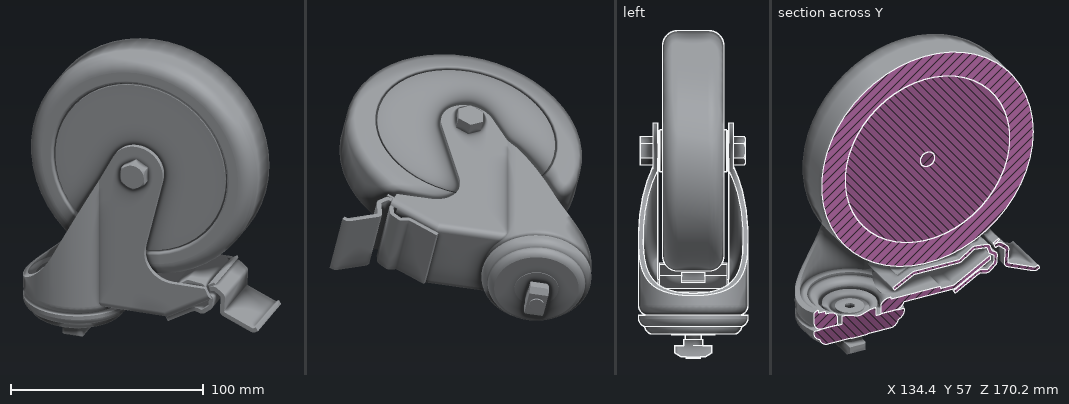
import cadquery as cq
import math


TOTAL_HEIGHT = 170.2
WHEEL_DIA = 125.0
WHEEL_WIDTH = 32.0
TREAD_FILLET = 8.0
AXLE_X = 40.0
AXLE_Z = TOTAL_HEIGHT - WHEEL_DIA / 2
TYRE_BORE_DIA = 96.0
TYRE_LIP_FILLET = 1.4
COVER_DIA = 94.0
COVER_RECESS = 1.0
COVER_GROOVE_DEPTH = 1.7
BOSS_DIA = 22.0
BOSS_FACE_Y = 17.9
BOSS_CHAMFER = 0.7

AXLE_DIA = 8.0
HEX_FLATS = 13.0
HEX_CORNERS = HEX_FLATS / math.cos(math.pi / 6)
HEAD_HEIGHT = 6.3
HEAD_BEVEL_HEIGHT = 0.9
HEAD_FACE_DIA = 13.0
NUT_HEIGHT = 6.6

SWIVEL_DIA = 57.0
SHEET = 2.5
CHEEK_OUTER_Y = 21.0
CHEEK_INNER_Y = CHEEK_OUTER_Y - SHEET
FORK_HEAD_DIA = 29
FORK_LIP_Z = 32.5
FRONT_ARC_MID = (-15.1, 41.2)
FRONT_ARC_END = (-4.5, 54.6)
CHEEK_BACK_LEAN = 13.6
CHEEK_NOTCH_RADIUS = 15.3
CHEEK_TOP_Z = 46.8
NOSE_TOP_X = 77.8
NOSE_X = 80.9
FLOOR_Z = 26.0
RAMP_START_X = 56.2
RAMP_ANGLE = 30
RAMP_END_Z = FLOOR_Z + (NOSE_X - RAMP_START_X) * math.tan(math.radians(RAMP_ANGLE))
FOLD_RADIUS = 3.7
FLOOR_END_X = 77.0
BOWL_RIM_Z = 32.9
TONGUE_DIA = 61.3
TONGUE_END_X = 17
TONGUE_Z = 30.0
BOWL_STEP_DIA = 44.3
BOWL_STEP_Z = 31.2
RACE_START_DIA = 42.2
RACE_END_DIA = 32.7
RACE_END_Z = 27.7
RIM_EDGE_Z = 27.5
FORK_SEAT_DIA = 49.4
RIM_ARC_MID = (27.4, 24.3)

CAP_TOP_Z = 22.5
CAP_SIDE_Z = 20.5
CAP_SIDE_ARC_MID = (27.5, 18.2)
CAP_STEP_Z = 16.5
CAP_STEP_DIA = 50.7
CAP_BASE_Z = 12.6
CAP_BASE_DIA = 44.0
CAP_BASE_ARC_MID = (24.3, 14.3)
CAP_PAD_Z = 12.3
CAP_PAD_DIA = 22.8
CAP_HUB_DIA = 29
CAP_HUB_Z = 27.2
CAP_HUB_ARC_MID = (11.4, 26.4)
CAP_DISH_DIA = 20.5
CAP_DISH_Z = 24.7

STUD_DIA = 8.5
STUD_HEAD_DIA = 15.3
STUD_HEAD_HEIGHT = 0.9
SOCKET_FLATS = 5.0
SOCKET_DEPTH = 3.4
NECK_WIDTH = 10.0
NECK_TOP_Z = 9.9
TEE_LENGTH = 19.4
TEE_TOP_Z = 6.6
TEE_BOTTOM_Z = 0.9
TEE_BEVEL_HEIGHT = 2.0
TEE_BEVEL_LENGTH = 3.2
TEE_CORNER_RADIUS = 2.0
STUD_TIP_DIA = 7.5

BRAKE_WIDTH = 35.0
SPRING_THICKNESS = 2.2
SPRING_BEND = 1.7
SPRING_PATH = [
    (20.1, 35.4), (31.8, 41.9), (58.9, 41.9), (67.2, 47.7), (75.5, 46.6), (77.0, 42.5), (80.0, 40.5),
    (79.7, 35.0), (75.2, 31.5), (70.8, 32.7), (68.6, 31.7), (55.7, 24.2),
]
TAB_WIDTH = 12.1
TAB_THICKNESS = 1.0
TAB_PATH = [(24.9, 39.8), (32.9, 44.3)]
PEDAL_THICKNESS = 2.4
PEDAL_BEND = 2.0
PEDAL_PATH = [(79.3, 45.3), (81.9, 46.3), (86.6, 42.4), (86.0, 32.7), (103.2, 25.4), (105.4, 26.5)]
PEDAL_LIP_THICKNESS = 1.4
PEDAL_LIP_PATH = [(78.6, 47.0), (82.0, 49.0)]


def side_plane(y):
    """Plane with local axes X and Z whose extrusions run towards -Y from the given Y."""
    return cq.Workplane(cq.Plane((0, y, 0), xDir=(1, 0, 0), normal=(0, -1, 0)))


def across(outline_points, width):
    """Closed X-Z outline extruded symmetrically about the plane Y = 0."""
    return side_plane(width / 2).polyline(outline_points).close().extrude(width)


def rod(diameter, start, end):
    """Round bar on the Z axis between two heights."""
    return cq.Workplane("XY").workplane(offset=start).circle(diameter / 2).extrude(end - start)


def at_axle(revolved):
    """Turn a body modelled about the Z axis onto the wheel axle, its +Z end towards +Y."""
    return revolved.rotate((0, 0, 0), (1, 0, 0), -90).translate((AXLE_X, 0, AXLE_Z))


def turned(half_outline):
    """Closed (radius, Z) outline revolved about the Z axis."""
    return half_outline.close().revolve(360, (0, 0, 0), (0, 1, 0))


def polar(center, radius, degrees):
    angle = math.radians(degrees)
    return (center[0] + radius * math.cos(angle), center[1] + radius * math.sin(angle))


def unit_normal(start, end):
    """Unit vector a quarter turn to the left of the direction from start to end."""
    dx = end[0] - start[0]
    dz = end[1] - start[1]
    length = math.hypot(dx, dz)
    return (-dz / length, dx / length)


def moved(point, direction, distance):
    return (point[0] + distance * direction[0], point[1] + distance * direction[1])


def strip(path, thickness, width, bend_radius=0):
    """Bent sheet that follows an X-Z centre line, whose bends have the given centre-line radius."""
    normals = [unit_normal(start, end) for start, end in zip(path, path[1:])]
    bends = []
    for corner, before, after in zip(path[1:], normals, normals[1:]):
        turn = math.copysign(bend_radius, before[0] * after[1] - before[1] * after[0])
        middle = (before[0] + after[0], before[1] + after[1])
        size = math.hypot(*middle)
        center = moved(corner, middle, 2 * turn / size**2)
        bends.append((center, turn, before, (middle[0] / size, middle[1] / size), after))

    half = thickness / 2
    outline = side_plane(width / 2).moveTo(*moved(path[0], normals[0], half))
    for center, turn, before, middle, after in bends:
        reach = half - turn
        outline = outline.lineTo(*moved(center, before, reach))
        outline = outline.threePointArc(moved(center, middle, reach), moved(center, after, reach))
    outline = outline.lineTo(*moved(path[-1], normals[-1], half))
    outline = outline.lineTo(*moved(path[-1], normals[-1], -half))
    for center, turn, before, middle, after in reversed(bends):
        reach = -half - turn
        outline = outline.lineTo(*moved(center, after, reach))
        outline = outline.threePointArc(moved(center, middle, reach), moved(center, before, reach))
    outline = outline.lineTo(*moved(path[0], normals[0], -half))
    return outline.close().extrude(width)


def make_tyre():
    """Solid tyre with a rounded tread and a rounded lip at each end of its bore."""
    tyre = rod(WHEEL_DIA, -WHEEL_WIDTH / 2, WHEEL_WIDTH / 2)
    tyre = tyre.edges("%CIRCLE").fillet(TREAD_FILLET)
    tyre = tyre.cut(rod(TYRE_BORE_DIA, -WHEEL_WIDTH / 2, WHEEL_WIDTH / 2))
    bore_ends = tyre.faces("<Z or >Z").edges(cq.selectors.RadiusNthSelector(0))
    return at_axle(bore_ends.fillet(TYRE_LIP_FILLET))


def make_hub():
    """Hub that fills the tyre bore, with stepped end covers and a boss at each end."""
    cover_y = WHEEL_WIDTH / 2 - COVER_RECESS
    groove_y = cover_y - COVER_GROOVE_DEPTH
    hub = rod(TYRE_BORE_DIA, -groove_y, groove_y)
    hub = hub.union(rod(COVER_DIA, -cover_y, cover_y))
    boss = rod(BOSS_DIA, -BOSS_FACE_Y, BOSS_FACE_Y)
    hub = hub.union(boss.faces("<Z or >Z").chamfer(BOSS_CHAMFER))
    return at_axle(hub.cut(rod(AXLE_DIA, -BOSS_FACE_Y, BOSS_FACE_Y)))


def hexagon(start, height):
    """Hexagonal prism along Z with a pair of corners on the Y axis."""
    prism = cq.Workplane("XY").workplane(offset=start).polygon(6, HEX_CORNERS).extrude(height)
    return prism.rotate((0, 0, 0), (0, 0, 1), 30)


def make_axle_bolt():
    """Hexagon bolt whose bevelled head bears on the -Y cheek and whose end is flush with the nut."""
    head_end = -CHEEK_OUTER_Y - HEAD_HEIGHT
    head = hexagon(head_end, HEAD_HEIGHT)
    bevel = turned(
        cq.Workplane("XZ")
        .moveTo(0, head_end)
        .lineTo(HEAD_FACE_DIA / 2, head_end)
        .lineTo(HEX_CORNERS / 2, head_end + HEAD_BEVEL_HEIGHT)
        .lineTo(HEX_CORNERS / 2, -CHEEK_OUTER_Y)
        .lineTo(0, -CHEEK_OUTER_Y)
    )
    shank = rod(AXLE_DIA, -CHEEK_OUTER_Y, CHEEK_OUTER_Y + NUT_HEIGHT)
    return at_axle(head.intersect(bevel).union(shank))


def make_axle_nut():
    nut = hexagon(CHEEK_OUTER_Y, NUT_HEIGHT)
    return at_axle(nut.cut(rod(AXLE_DIA, CHEEK_OUTER_Y, CHEEK_OUTER_Y + NUT_HEIGHT)))


def fork_profile():
    """Side outline of the fork: sloping front, round head, leaning back, notch, nose and ramp."""
    head = (AXLE_X, AXLE_Z)
    head_radius = FORK_HEAD_DIA / 2
    dx = FRONT_ARC_END[0] - head[0]
    dz = FRONT_ARC_END[1] - head[1]
    toward_arc = math.degrees(math.atan2(dz, dx))
    front_angle = toward_arc - math.degrees(math.acos(head_radius / math.hypot(dx, dz)))
    lean = math.radians(CHEEK_BACK_LEAN)
    notch_z = CHEEK_TOP_Z + CHEEK_NOTCH_RADIUS
    drop = AXLE_Z - notch_z
    reach = (head_radius + CHEEK_NOTCH_RADIUS) / math.cos(lean) - drop * math.tan(lean)
    notch = (AXLE_X + reach, notch_z)
    front_x = -SWIVEL_DIA / 2
    return (
        side_plane(SWIVEL_DIA)
        .moveTo(front_x, FLOOR_Z)
        .lineTo(front_x, FORK_LIP_Z)
        .threePointArc(FRONT_ARC_MID, FRONT_ARC_END)
        .lineTo(*polar(head, head_radius, front_angle))
        .threePointArc(polar(head, head_radius, 90), polar(head, head_radius, -CHEEK_BACK_LEAN))
        .lineTo(*polar(notch, CHEEK_NOTCH_RADIUS, 180 - CHEEK_BACK_LEAN))
        .threePointArc(
            polar(notch, CHEEK_NOTCH_RADIUS, 225),
            polar(notch, CHEEK_NOTCH_RADIUS, 270),
        )
        .lineTo(NOSE_TOP_X, CHEEK_TOP_Z)
        .lineTo(NOSE_X, RAMP_END_Z)
        .lineTo(RAMP_START_X, FLOOR_Z)
        .close()
        .extrude(2 * SWIVEL_DIA)
    )


def fork_bowl():
    """Round bottom of the fork: a stepped bowl whose bore edge is a rounded race."""
    outer = SWIVEL_DIA / 2
    race_run = (RACE_START_DIA - RACE_END_DIA) / 2
    race_drop = BOWL_STEP_Z - RACE_END_Z
    race_mid = (
        RACE_END_DIA / 2 + race_run * (1 - math.sqrt(0.5)),
        RACE_END_Z + race_drop * math.sqrt(0.5),
    )
    return turned(
        cq.Workplane("XZ")
        .moveTo(RACE_END_DIA / 2, CAP_TOP_Z)
        .lineTo(FORK_SEAT_DIA / 2, CAP_TOP_Z)
        .threePointArc(RIM_ARC_MID, (outer, RIM_EDGE_Z))
        .lineTo(outer, FORK_LIP_Z)
        .lineTo(outer - SHEET, BOWL_RIM_Z)
        .lineTo(BOWL_STEP_DIA / 2, BOWL_RIM_Z)
        .lineTo(BOWL_STEP_DIA / 2, BOWL_STEP_Z)
        .lineTo(RACE_START_DIA / 2, BOWL_STEP_Z)
        .threePointArc(race_mid, (RACE_END_DIA / 2, RACE_END_Z))
    )


def fork_tongue(start, end):
    """Round-ended block between two heights that fills the gap between the cheeks above the bowl."""
    center_x = TONGUE_END_X + TONGUE_DIA / 2
    tongue = rod(TONGUE_DIA, start, end).translate((center_x, 0, 0))
    between = cq.Workplane("XY").box(center_x, 2 * CHEEK_INNER_Y, end, centered=(False, True, False))
    return tongue.intersect(between)


def make_fork():
    """Bent sheet fork: round front wall, two cheeks, a folded floor that ramps up, and the bowl."""
    top = AXLE_Z + FORK_HEAD_DIA
    folded = across(
        [(0, FLOOR_Z), (RAMP_START_X, FLOOR_Z), (NOSE_X, RAMP_END_Z), (NOSE_X, top), (0, top)],
        2 * CHEEK_OUTER_Y,
    )
    fold_edges = folded.faces("<Y or >Y").edges("(not |Z) and (not >Z)")
    folded = fold_edges.fillet(FOLD_RADIUS)
    barrel = rod(SWIVEL_DIA, RIM_EDGE_Z, top)
    blank = barrel.union(folded).intersect(fork_profile())

    inner_round = rod(SWIVEL_DIA - 2 * SHEET, 0, top)
    slope = math.radians(RAMP_ANGLE)
    inner_ramp_x = RAMP_START_X - SHEET * math.tan(slope / 2)
    end_z = FLOOR_Z + SHEET + (FLOOR_END_X - inner_ramp_x) * math.tan(slope)
    inner_gap = across(
        [
            (0, FLOOR_Z + SHEET),
            (inner_ramp_x, FLOOR_Z + SHEET),
            (FLOOR_END_X, end_z),
            (FLOOR_END_X, 0),
            (NOSE_X, 0),
            (NOSE_X, top),
            (0, top),
        ],
        2 * CHEEK_INNER_Y,
    )
    axle_hole = at_axle(rod(AXLE_DIA, -CHEEK_OUTER_Y, CHEEK_OUTER_Y))
    shell = blank.cut(inner_round).cut(inner_gap)

    bowl = fork_bowl().cut(fork_tongue(TONGUE_Z, BOWL_RIM_Z))
    tongue = fork_tongue(FLOOR_Z + SHEET, TONGUE_Z)
    return shell.union(bowl).union(tongue).cut(axle_hole)


def make_swivel_cap():
    """Cap under the fork, with a rounded hub that stands in the fork's bore and carries the stud."""
    outer = SWIVEL_DIA / 2
    step = CAP_STEP_DIA / 2
    hub = CAP_HUB_DIA / 2
    dish = CAP_DISH_DIA / 2
    return turned(
        cq.Workplane("XZ")
        .moveTo(STUD_DIA / 2, CAP_PAD_Z)
        .lineTo(CAP_PAD_DIA / 2, CAP_PAD_Z)
        .lineTo(CAP_PAD_DIA / 2, CAP_BASE_Z)
        .lineTo(CAP_BASE_DIA / 2, CAP_BASE_Z)
        .threePointArc(CAP_BASE_ARC_MID, (step, CAP_STEP_Z))
        .threePointArc(CAP_SIDE_ARC_MID, (outer, CAP_SIDE_Z))
        .lineTo(outer, CAP_TOP_Z)
        .lineTo(hub, CAP_TOP_Z)
        .lineTo(hub, CAP_HUB_Z)
        .threePointArc(CAP_HUB_ARC_MID, (dish, CAP_DISH_Z))
        .lineTo(STUD_DIA / 2, CAP_DISH_Z)
    )


def make_stud():
    """Stud with a socket head in the cap's dish and a hammer head for a slot at the bottom."""
    head = rod(STUD_HEAD_DIA, CAP_DISH_Z, CAP_DISH_Z + STUD_HEAD_HEIGHT)
    shank = rod(STUD_DIA, TEE_TOP_Z, CAP_DISH_Z)
    tip = rod(STUD_TIP_DIA, 0, TEE_TOP_Z)

    neck = rod(NECK_WIDTH, TEE_TOP_Z, NECK_TOP_Z)
    half = NECK_WIDTH / 2
    for side in (1, -1):
        block = cq.Workplane("XY").box(half, half, NECK_TOP_Z - TEE_TOP_Z, centered=(True, True, False))
        neck = neck.union(block.translate((side * half / 2, -side * half / 2, TEE_TOP_Z)))

    tee = (
        cq.Workplane("YZ")
        .moveTo(-TEE_LENGTH / 2, TEE_TOP_Z)
        .lineTo(TEE_LENGTH / 2, TEE_TOP_Z)
        .lineTo(TEE_LENGTH / 2, TEE_BOTTOM_Z + TEE_BEVEL_HEIGHT)
        .lineTo(TEE_LENGTH / 2 - TEE_BEVEL_LENGTH, TEE_BOTTOM_Z)
        .lineTo(-TEE_LENGTH / 2 + TEE_BEVEL_LENGTH, TEE_BOTTOM_Z)
        .lineTo(-TEE_LENGTH / 2, TEE_BOTTOM_Z + TEE_BEVEL_HEIGHT)
        .close()
        .extrude(NECK_WIDTH / 2, both=True)
    )
    round_corners = (
        cq.Workplane("XY")
        .rect(NECK_WIDTH, TEE_LENGTH)
        .extrude(TEE_TOP_Z)
        .edges("|Z and ((<X and >Y) or (>X and <Y))")
        .fillet(TEE_CORNER_RADIUS)
    )
    socket = (
        cq.Workplane("XY")
        .workplane(offset=CAP_DISH_Z + STUD_HEAD_HEIGHT)
        .polygon(6, SOCKET_FLATS / math.cos(math.pi / 6))
        .extrude(-SOCKET_DEPTH)
    )
    return head.union(shank).union(neck).union(tee.intersect(round_corners)).union(tip).cut(socket)


def make_brake_spring():
    """Leaf that rises under the wheel, curls around the nose and clips beneath the fork's ramp."""
    leaf = strip(SPRING_PATH, SPRING_THICKNESS, BRAKE_WIDTH, SPRING_BEND)
    return leaf.union(strip(TAB_PATH, TAB_THICKNESS, TAB_WIDTH))


def make_brake_pedal():
    """Bent foot pedal behind the fork, with a thin lip along its upper end."""
    pedal = strip(PEDAL_PATH, PEDAL_THICKNESS, BRAKE_WIDTH, PEDAL_BEND)
    return pedal.union(strip(PEDAL_LIP_PATH, PEDAL_LIP_THICKNESS, BRAKE_WIDTH))


tyre = make_tyre()
hub = make_hub()
axle_bolt = make_axle_bolt()
axle_nut = make_axle_nut()
fork = make_fork()
swivel_cap = make_swivel_cap()
stud = make_stud()
brake_spring = make_brake_spring()
brake_pedal = make_brake_pedal()

result = cq.Compound.makeCompound([
    tyre.solids().val(),
    hub.solids().val(),
    axle_bolt.solids().val(),
    axle_nut.solids().val(),
    fork.solids().val(),
    swivel_cap.solids().val(),
    stud.solids().val(),
    brake_spring.solids().val(),
    brake_pedal.solids().val(),
])